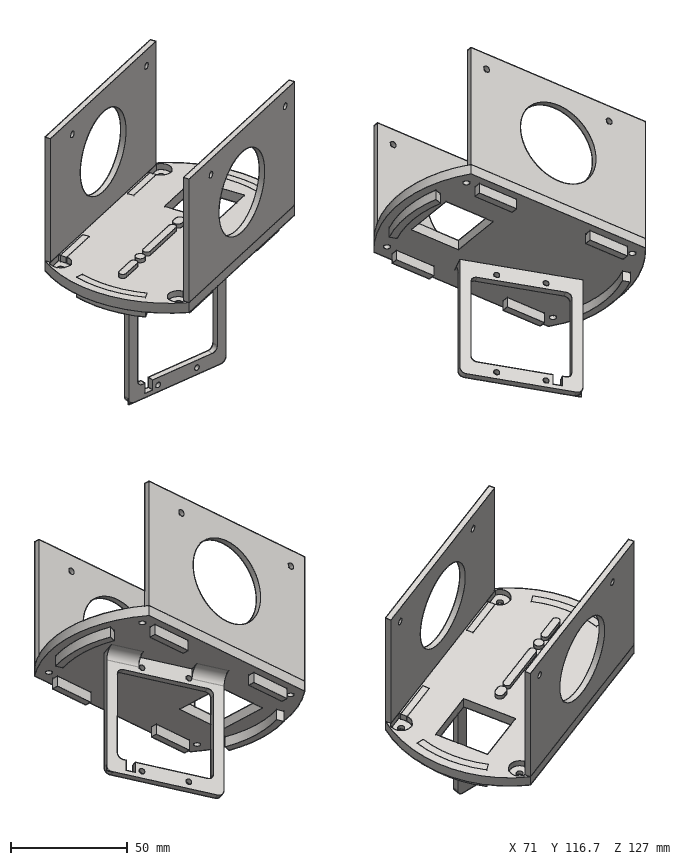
import cadquery as cq
import math

plate_width = 71.0
plate_length = 116.69
plate_radius = plate_length / 2
plate_thickness = 5.0
overlap = 1.0

window_width = 25.4
window_length = 25.0
window_center_y = 30.5

wall_thickness = 2.75
wall_height = 62.0
wall_length = 2 * math.sqrt(plate_radius**2 - (plate_width / 2) ** 2)
wall_inner_x = plate_width / 2 - wall_thickness
wall_opening_diameter = 40.0
wall_hole_diameter = 3.0
wall_hole_height = 54.0
wall_hole_ys = (-27.0, 38.0)

screw_x = 29.0
screw_y = 44.0
screw_diameter = 3.0
recess_radius = 4.75
recess_depth = 3.0

tab_drop = 5.0
tab_height = plate_thickness + tab_drop
side_tab_width = 3.2
side_tab_length = 19.75
side_tab_x = 30.25
side_tab_y = screw_y - recess_radius - side_tab_length / 2
arc_tab_outer_radius = 54.3
arc_tab_inner_radius = arc_tab_outer_radius - 3.5
arc_tab_half_angle = 18.3

key_height = 2.0
keys = (
    (4.4, 6.2, 7.9),
    (3.5, 26.0, -8.9),
    (4.4, 4.4, -25.9),
    (3.5, 13.2, -36.4),
)

bracket_angle = 20.0
bracket_corner = (2.0, -39.3)
bracket_length = 55.0
bracket_height = 60.0
bracket_thickness = 3.0
bracket_corner_radius = 3.0
bracket_lip = 0.5
frame_side_margin = 5.0
frame_window_top = 8.0
frame_window_height = 44.75
frame_window_length = bracket_length - 2 * frame_side_margin
frame_window_radius = 2.75
bracket_hole_diameter = 2.6
bracket_hole_spacing = 22.0
bracket_hole_depths = (5.0, 56.5)
notch_width = 4.2
notch_start = 9.2
notch_bottom = 57.8
gusset_radius = 5.0
gusset_length = 15.0


def both_signs(value):
    return (-value, value)


def make_plate():
    plate = cq.Workplane("XY").circle(plate_radius).extrude(plate_thickness)
    flat_sides = cq.Workplane("XY").rect(plate_width, plate_length + overlap).extrude(plate_thickness)
    window = (
        cq.Workplane("XY")
        .center(0, window_center_y)
        .rect(window_width, window_length)
        .extrude(plate_thickness)
    )
    return plate.intersect(flat_sides).cut(window)


def make_recess(side, end):
    """Round recess whose flank nearest the plate's middle runs straight on to the wall."""
    reach = wall_inner_x - screw_x
    floor = cq.Workplane("XY", origin=(side * screw_x, end * screw_y, plate_thickness - recess_depth))
    round_end = floor.circle(recess_radius).extrude(recess_depth)
    inner_zone = cq.Workplane("XY").rect(2 * wall_inner_x, plate_length).extrude(plate_thickness)
    run_out = (
        floor.center(side * reach / 2, -end * recess_radius / 2)
        .rect(reach, recess_radius)
        .extrude(recess_depth)
    )
    return round_end.intersect(inner_zone).union(run_out)


def make_key(width, length, y):
    key = cq.Workplane("XY", origin=(0, y, plate_thickness))
    if length > width:
        return key.slot2D(length, width, 90).extrude(key_height)
    return key.circle(width / 2).extrude(key_height)


def place_bracket(shape):
    """Move a shape from bracket axes (X out of the +X face, Y along it) to its place."""
    turned = shape.rotate((0, 0, 0), (0, 0, 1), -bracket_angle)
    return turned.translate((bracket_corner[0], bracket_corner[1], 0))


def bracket_block(thickness, x_far, y_start, length, depth_top, height):
    """Box reaching from x_far - thickness to x_far, hung depth_top below the plate."""
    return cq.Workplane("XY").box(thickness, length, height, centered=False).translate(
        (x_far - thickness, y_start, -depth_top - height)
    )


def make_bracket():
    core_thickness = bracket_thickness - bracket_lip
    core = bracket_block(core_thickness, -bracket_lip, 0, bracket_length, 0, bracket_height)
    core = core.edges("|X and <Z").fillet(bracket_corner_radius)
    lip = bracket_block(bracket_lip, 0, 0, bracket_length, 0, bracket_height)
    lip = lip.edges("|X and <Z and >Y").fillet(bracket_corner_radius)
    frame = core.union(lip)

    cut_thickness = bracket_thickness + 2 * overlap
    opening = bracket_block(
        cut_thickness, overlap, frame_side_margin, frame_window_length, frame_window_top, frame_window_height
    )
    opening = opening.edges("|X").fillet(frame_window_radius)
    frame = frame.cut(opening)

    notch_top = frame_window_top + frame_window_height - overlap
    notch = bracket_block(
        cut_thickness, overlap, notch_start, notch_width, notch_top, notch_bottom - notch_top
    )
    frame = frame.cut(notch)

    hole_points = [
        (bracket_length / 2 + offset, -depth)
        for offset in both_signs(bracket_hole_spacing / 2)
        for depth in bracket_hole_depths
    ]
    holes = (
        cq.Workplane("YZ", origin=(-bracket_thickness - overlap, 0, 0))
        .pushPoints(hole_points)
        .circle(bracket_hole_diameter / 2)
        .extrude(cut_thickness)
    )
    frame = frame.cut(holes)

    for start in (0, bracket_length - gusset_length):
        frame = frame.union(make_gusset(start))
    return place_bracket(frame)


def make_gusset(start):
    """Concave fillet piece in the corner between the bracket's +X face and the plate."""
    block = bracket_block(gusset_radius, gusset_radius, start, gusset_length, 0, gusset_radius)
    hollow = (
        cq.Workplane("XZ", origin=(0, start, 0))
        .center(gusset_radius, -gusset_radius)
        .circle(gusset_radius)
        .extrude(-gusset_length)
    )
    return block.cut(hollow)


def make_side_tab(x, y):
    return (
        cq.Workplane("XY", origin=(x, y, -tab_drop))
        .rect(side_tab_width, side_tab_length)
        .extrude(tab_height)
    )


def make_arc_tab(end):
    """Ring sector about the plate centre, at the +Y or -Y end."""

    def point(radius, angle):
        turn = math.radians(angle)
        return (radius * math.sin(turn), end * radius * math.cos(turn))

    return (
        cq.Workplane("XY", origin=(0, 0, -tab_drop))
        .moveTo(*point(arc_tab_outer_radius, -arc_tab_half_angle))
        .threePointArc(point(arc_tab_outer_radius, 0), point(arc_tab_outer_radius, arc_tab_half_angle))
        .lineTo(*point(arc_tab_inner_radius, arc_tab_half_angle))
        .threePointArc(point(arc_tab_inner_radius, 0), point(arc_tab_inner_radius, -arc_tab_half_angle))
        .close()
        .extrude(tab_height)
    )


def make_wall(side):
    wall_center_x = side * (wall_inner_x + wall_thickness / 2)
    wall = cq.Workplane("XY", origin=(wall_center_x, 0, plate_thickness))
    wall = wall.rect(wall_thickness, wall_length).extrude(wall_height)
    cutter = cq.Workplane("YZ", origin=(wall_center_x, 0, plate_thickness))
    opening = cutter.center(0, wall_height / 2).circle(wall_opening_diameter / 2)
    wall = wall.cut(opening.extrude(wall_thickness, both=True))
    hole_points = [(y, wall_hole_height) for y in wall_hole_ys]
    holes = cutter.pushPoints(hole_points).circle(wall_hole_diameter / 2)
    return wall.cut(holes.extrude(wall_thickness, both=True))


side_tabs = [make_side_tab(x, y) for x in both_signs(side_tab_x) for y in both_signs(side_tab_y)]
arc_tabs = [make_arc_tab(end) for end in both_signs(1)]
tabs = side_tabs + arc_tabs

base = make_plate()
for side in both_signs(1):
    for end in both_signs(1):
        base = base.cut(make_recess(side, end))
screw_holes = (
    cq.Workplane("XY")
    .rect(2 * screw_x, 2 * screw_y, forConstruction=True)
    .vertices()
    .circle(screw_diameter / 2)
    .extrude(plate_thickness)
)
base = base.cut(screw_holes)
for key_width, key_length, key_y in keys:
    base = base.union(make_key(key_width, key_length, key_y))
base = base.union(make_bracket())
for tab in tabs:
    base = base.cut(tab)

walls = [make_wall(side) for side in both_signs(1)]

bodies = [base, *walls, *tabs]
result = cq.Compound.makeCompound([body.solids().val() for body in bodies])